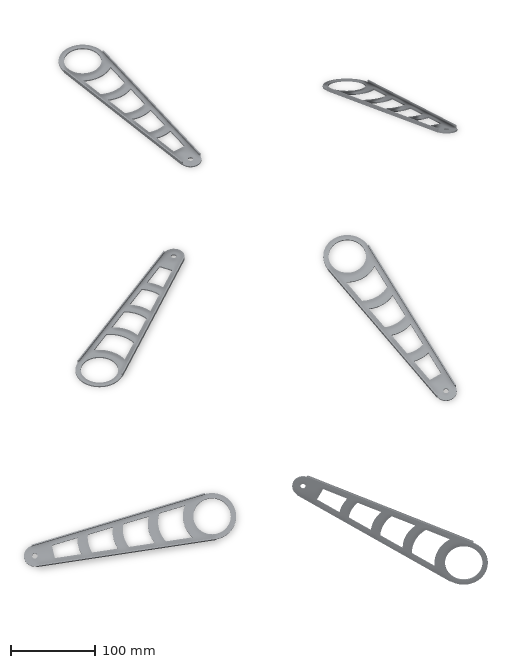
import cadquery as cq
import math

length = 257.0
height = 4.5
plate_thickness = 1.8
large_radius = 28.5
small_radius = 12.9
large_hole_diameter = 44.5
small_hole_diameter = 6.5
rail_overhang = 0.72
rail_inset = 0.72
border = 6.5
window_count = 4
window_start = 34.5
window_length = 30.3
last_window_start = 162.7
arc_radius = 36.5
window_pitch = (last_window_start - window_start) / (window_count - 1)

centre_distance = length - large_radius - small_radius
taper = math.asin((large_radius - small_radius) / centre_distance)


def edge_point(end_x, end_radius, side, offset=0.0):
    """Tangent point of one end circle, moved outward from the tapered edge."""
    reach = end_radius + offset
    return (end_x + reach * math.sin(taper), side * reach * math.cos(taper))


def tapered_strip(points, thickness):
    return cq.Workplane("XY").polyline(points).close().extrude(thickness)


def make_plate():
    return (
        cq.Workplane("XY")
        .moveTo(*edge_point(0, large_radius, 1))
        .threePointArc((-large_radius, 0), edge_point(0, large_radius, -1))
        .lineTo(*edge_point(centre_distance, small_radius, -1))
        .threePointArc(
            (centre_distance + small_radius, 0),
            edge_point(centre_distance, small_radius, 1),
        )
        .close()
        .extrude(plate_thickness)
    )


def make_rail(side):
    return tapered_strip(
        [
            edge_point(0, large_radius, side, -rail_inset),
            edge_point(0, large_radius, side, rail_overhang),
            edge_point(centre_distance, small_radius, side, rail_overhang),
            edge_point(centre_distance, small_radius, side, -rail_inset),
        ],
        height,
    )


def arc_disc(apex_x):
    """Disc whose rightmost point lies at apex_x on the centreline."""
    return (
        cq.Workplane("XY")
        .center(apex_x - arc_radius, 0)
        .circle(arc_radius)
        .extrude(plate_thickness)
    )


def make_windows():
    inner_taper = tapered_strip(
        [
            edge_point(0, large_radius, 1, -border),
            edge_point(centre_distance, small_radius, 1, -border),
            edge_point(centre_distance, small_radius, -1, -border),
            edge_point(0, large_radius, -1, -border),
        ],
        plate_thickness,
    )
    windows = []
    for index in range(window_count):
        start = window_start + index * window_pitch
        end = start + window_length
        slab_start = start - arc_radius
        slab = (
            cq.Workplane("XY")
            .rect(end - slab_start, 2 * large_radius)
            .extrude(plate_thickness)
            .translate(((slab_start + end) / 2, 0, 0))
        )
        window = inner_taper.intersect(slab).cut(arc_disc(start))
        if index < window_count - 1:
            window = window.intersect(arc_disc(end))
        windows.append(window)
    return windows


def make_hole(x, diameter):
    return cq.Workplane("XY").center(x, 0).circle(diameter / 2).extrude(plate_thickness)


body = make_plate()
for side in (-1, 1):
    body = body.union(make_rail(side))
for window in make_windows():
    body = body.cut(window)
body = body.cut(make_hole(0, large_hole_diameter))
body = body.cut(make_hole(centre_distance, small_hole_diameter))

result = body